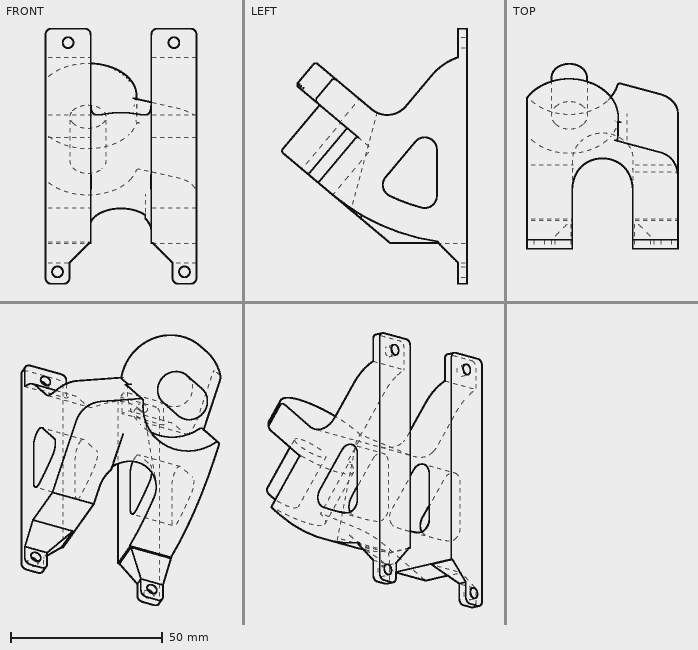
import cadquery as cq
import math

WIDTH = 50.0
HEIGHT = 84.48

SLOT_WIDTH = 20.0
SLOT_CENTRE_Y = 19.55
SLOT_CENTRE_Z = 56.5
SLOT_LEAN = 15.0

FLANGE_THICKNESS = 3.0
FLANGE_CORNER_RADIUS = 2.0
FOOT_WIDTH = 8.0
FOOT_HEIGHT = 7.0
LEG_BOTTOM_Z = 13.5
NOTCH_STEP = 0.5
HOLE_DIAMETER = 3.5
UPPER_HOLE_X = 17.5
UPPER_HOLE_Z = 79.8
LOWER_HOLE_X = 21.0
LOWER_HOLE_Z = 4.0

TILT = 40.0
SEAT_W = 24.0
UNDERSIDE_W = -6.0
DISC_THICKNESS = 10.0
SPINE_U = 53.3
SEAT_FILLET = 8.0
LEG_BLEND_W = 45.5
LEG_TOP_Z = 75.0
BELLY_RADIUS = 70.0
BELLY_END_X = 8.0

POST_X = -11.0
POST_U = 69.45
POST_RADIUS = 5.95
DISC_RADIUS = 16.2
RIM_FILLET = 1.0
POCKET_RADIUS = 16.4
POCKET_LIP_FILLET = 0.8

SHOULDER_ANGLE = 19.3
SHOULDER_CORNER_RADIUS = 9.0

WINDOW_MARGIN = 10.0
WINDOW_CORNER_RADIUS = 4.0

HALF_WIDTH = WIDTH / 2
HALF_SLOT = SLOT_WIDTH / 2
COS_TILT = math.cos(math.radians(TILT))
SIN_TILT = math.sin(math.radians(TILT))
DISC_BOTTOM_W = SEAT_W - DISC_THICKNESS
BELLY_CENTRE_W = UNDERSIDE_W + BELLY_RADIUS
GUSSET_Y = FLANGE_THICKNESS + LEG_BOTTOM_Z - FOOT_HEIGHT
FOOT_INNER_X = HALF_WIDTH - FOOT_WIDTH
NOTCH_TOP_X = HALF_SLOT + NOTCH_STEP
REACH = 2 * HEIGHT
TOLERANCE = 0.01


def side_point(u, w):
    """(Y, Z) of a point given in the tilted u, w axes."""
    return (u * COS_TILT - w * SIN_TILT, u * SIN_TILT + w * COS_TILT)


def slope_u(y, z):
    """Position along the slope of a point given by Y and Z."""
    return y * COS_TILT + z * SIN_TILT


def head_plane(w):
    """Workplane parallel to the seat, local X along X and local Y along u."""
    y, z = side_point(0, w)
    return cq.Workplane(
        cq.Plane(origin=(0, y, z), xDir=(1, 0, 0), normal=(0, -SIN_TILT, COS_TILT))
    )


def side_plane():
    """Workplane on the -X side of the bracket with local axes Y and Z."""
    return cq.Workplane("YZ", origin=(-HALF_WIDTH, 0, 0))


def belly_point_at_u(u, radius):
    """Point of the underside arc, or of a concentric one, at slope position u."""
    return side_point(u, BELLY_CENTRE_W - math.sqrt(radius**2 - (u - SPINE_U) ** 2))


def belly_point_at_y(y, radius):
    """Point of the underside arc, or of a concentric one, at depth Y."""
    centre_y, centre_z = side_point(SPINE_U, BELLY_CENTRE_W)
    return (y, centre_z - math.sqrt(radius**2 - (y - centre_y) ** 2))


def side_blank():
    """Side profile of the legs and head across the full width."""
    tip_u = POST_U + 2 * DISC_RADIUS
    bottom_y = (LEG_BOTTOM_Z * COS_TILT - UNDERSIDE_W) / SIN_TILT
    fillet_u = SPINE_U + SEAT_FILLET
    fillet_w = SEAT_W + SEAT_FILLET
    diagonal = SEAT_FILLET * math.sqrt(0.5)
    return (
        side_plane()
        .moveTo(0, FOOT_HEIGHT)
        .lineTo(FLANGE_THICKNESS, FOOT_HEIGHT)
        .lineTo(GUSSET_Y, LEG_BOTTOM_Z)
        .lineTo(bottom_y, LEG_BOTTOM_Z)
        .lineTo(*side_point(tip_u, UNDERSIDE_W))
        .lineTo(*side_point(tip_u, SEAT_W))
        .lineTo(*side_point(fillet_u, SEAT_W))
        .threePointArc(side_point(fillet_u - diagonal, fillet_w - diagonal), side_point(SPINE_U, fillet_w))
        .lineTo(*side_point(SPINE_U, LEG_BLEND_W))
        .tangentArcPoint((FLANGE_THICKNESS, LEG_TOP_Z), relative=False)
        .lineTo(0, LEG_TOP_Z)
        .close()
        .extrude(WIDTH)
    )


def shoulder_prism():
    """Outline of the head beside the disc, as a tall prism square to the seat."""
    angle = math.radians(SHOULDER_ANGLE)
    mid_angle = (math.pi / 2 - angle) / 2
    radius = SHOULDER_CORNER_RADIUS
    corner_x = HALF_WIDTH - radius
    tangent_x = corner_x + radius * math.sin(angle)
    tangent_u = SPINE_U + radius * math.cos(angle)
    middle = (corner_x + radius * math.cos(mid_angle), SPINE_U + radius * math.sin(mid_angle))
    inner_u = tangent_u + (tangent_x - POST_X) * math.tan(angle)
    return (
        head_plane(-REACH)
        .moveTo(-HALF_WIDTH, -REACH)
        .lineTo(HALF_WIDTH, -REACH)
        .lineTo(HALF_WIDTH, SPINE_U)
        .threePointArc(middle, (tangent_x, tangent_u))
        .lineTo(POST_X, inner_u)
        .lineTo(-HALF_WIDTH, POST_U)
        .close()
        .extrude(2 * REACH)
    )


def pocket():
    """Round clearance under the disc, concentric with the post."""
    return (
        head_plane(UNDERSIDE_W)
        .center(POST_X, POST_U)
        .circle(POCKET_RADIUS)
        .extrude(DISC_BOTTOM_W - UNDERSIDE_W)
    )


def is_pocket_lip(edge):
    """True for an edge lying on the pocket wall, at the pocket radius from the post axis."""
    middle = edge.Center()
    distance = math.hypot(middle.x - POST_X, slope_u(middle.y, middle.z) - POST_U)
    return abs(distance - POCKET_RADIUS) < TOLERANCE


def belly_cut():
    """Space under the belly arc, from the -X side up to the deeper +X leg."""
    start = side_point(SPINE_U, UNDERSIDE_W)
    end = belly_point_at_y(GUSSET_Y, BELLY_RADIUS)
    middle_u = (SPINE_U + slope_u(*end)) / 2
    return (
        side_plane()
        .moveTo(*start)
        .threePointArc(belly_point_at_u(middle_u, BELLY_RADIUS), end)
        .lineTo(GUSSET_Y, 0)
        .lineTo(start[0], 0)
        .close()
        .extrude(HALF_WIDTH + BELLY_END_X)
    )


def head_and_legs():
    """Main body with the pocket and its rounded lips."""
    body = side_blank().intersect(shoulder_prism()).cut(pocket())
    edges_along_post = body.edges(f"|(0,{-SIN_TILT},{COS_TILT})")
    body = edges_along_post.filter(is_pocket_lip).fillet(POCKET_LIP_FILLET)
    return body.cut(belly_cut())


def disc():
    """Round seat with rounded rims, trimmed flush with the -X side of the bracket."""
    plate = (
        head_plane(DISC_BOTTOM_W)
        .center(POST_X, POST_U)
        .circle(DISC_RADIUS)
        .extrude(DISC_THICKNESS)
        .edges()
        .fillet(RIM_FILLET)
    )
    side_limit = side_plane().rect(2 * REACH, 2 * REACH).extrude(WIDTH)
    return plate.intersect(side_limit)


def post():
    """Pin under the disc with a rounded free end, rooted half way into the disc."""
    return (
        head_plane(UNDERSIDE_W)
        .center(POST_X, POST_U)
        .circle(POST_RADIUS)
        .extrude(DISC_BOTTOM_W + DISC_THICKNESS / 2 - UNDERSIDE_W)
        .faces(f"<(0,{-SIN_TILT},{COS_TILT})")
        .edges()
        .fillet(RIM_FILLET)
    )


def window():
    """Rounded opening that keeps an even margin to the wall, leg edge and belly."""
    top_u = SPINE_U - WINDOW_MARGIN
    radius = BELLY_RADIUS - WINDOW_MARGIN
    top_w = (top_u * COS_TILT - WINDOW_MARGIN) / SIN_TILT
    wall_end = belly_point_at_y(WINDOW_MARGIN, radius)
    middle_u = (top_u + slope_u(*wall_end)) / 2
    return (
        side_plane()
        .moveTo(*side_point(top_u, top_w))
        .lineTo(*belly_point_at_u(top_u, radius))
        .threePointArc(belly_point_at_u(middle_u, radius), wall_end)
        .close()
        .extrude(WIDTH)
        .edges("|X")
        .fillet(WINDOW_CORNER_RADIUS)
    )


def foot_notch():
    """Clearance between the feet that trims the gussets to the flange outline."""
    return (
        cq.Workplane("XZ")
        .moveTo(-FOOT_INNER_X, FOOT_HEIGHT)
        .lineTo(-NOTCH_TOP_X, LEG_BOTTOM_Z)
        .lineTo(NOTCH_TOP_X, LEG_BOTTOM_Z)
        .lineTo(FOOT_INNER_X, FOOT_HEIGHT)
        .close()
        .extrude(-REACH)
    )


def slot():
    """Leaning round-ended slot that separates the legs."""
    lean = math.radians(SLOT_LEAN)
    plane = cq.Plane(
        origin=(0, SLOT_CENTRE_Y, SLOT_CENTRE_Z),
        xDir=(1, 0, 0),
        normal=(0, -math.sin(lean), math.cos(lean)),
    )
    return (
        cq.Workplane(plane)
        .moveTo(-HALF_SLOT, -REACH)
        .lineTo(-HALF_SLOT, 0)
        .threePointArc((0, HALF_SLOT), (HALF_SLOT, 0))
        .lineTo(HALF_SLOT, -REACH)
        .close()
        .extrude(REACH, both=True)
    )


def flange(side):
    """Wall flange of one leg; side is -1 or +1 along X."""
    return (
        cq.Workplane("XZ")
        .moveTo(side * HALF_WIDTH, 0)
        .lineTo(side * HALF_WIDTH, HEIGHT)
        .lineTo(side * HALF_SLOT, HEIGHT)
        .lineTo(side * HALF_SLOT, LEG_BOTTOM_Z)
        .lineTo(side * NOTCH_TOP_X, LEG_BOTTOM_Z)
        .lineTo(side * FOOT_INNER_X, FOOT_HEIGHT)
        .lineTo(side * FOOT_INNER_X, 0)
        .close()
        .extrude(-FLANGE_THICKNESS)
        .edges("|Y and (>Z or <Z)")
        .fillet(FLANGE_CORNER_RADIUS)
    )


def screw_holes(side):
    """Upper and lower screw holes of one flange."""
    return (
        cq.Workplane("XZ")
        .pushPoints([(side * UPPER_HOLE_X, UPPER_HOLE_Z), (side * LOWER_HOLE_X, LOWER_HOLE_Z)])
        .circle(HOLE_DIAMETER / 2)
        .extrude(-FLANGE_THICKNESS)
    )


bracket = head_and_legs().union(disc()).union(post())
bracket = bracket.cut(window()).cut(foot_notch())
for side in (-1, 1):
    bracket = bracket.union(flange(side)).cut(screw_holes(side))
result = bracket.cut(slot())